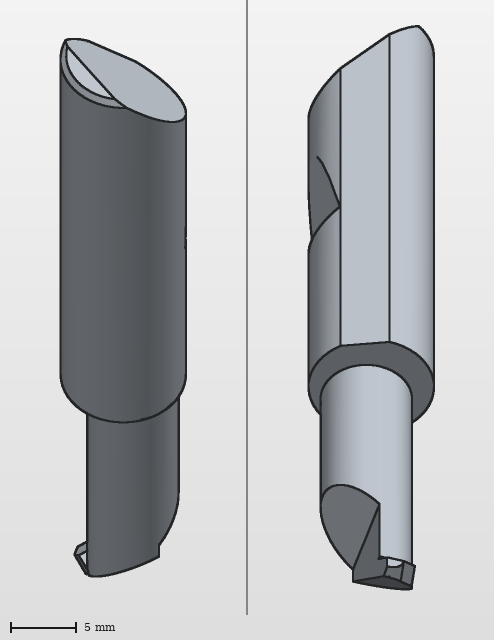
import cadquery as cq
import math

total_height = 63.2
shank_diameter = 9.55
shank_radius = shank_diameter / 2
shank_bottom = 25.1
top_chamfer = 0.45
slant_start_y = -3.0

flat_chord_angle = 46.0
flat_normal_angle = 180 - flat_chord_angle / 2
flat_distance = shank_radius * math.cos(math.radians(flat_chord_angle / 2))

notch_top = 49.45
notch_root = 41.0
notch_bottom = 40.1
notch_floor_y = 3.5

neck_diameter = 6.95
neck_radius = neck_diameter / 2
neck_x = shank_radius - neck_radius
neck_bottom = 3.4
face_end_height = 9.35

underside_rise = 3.2
arm_top_rise = 5.3
tip_x = -4.2
tip_edge_bottom = 0.1
flank_start = (-2.4, 2.7)
flank_end = (-1.3, 1.15)
nose_middle = (-0.9, 0.4)
clearance_angle = 10.0

cut_size = 2 * total_height


def make_shank():
    shank = (
        cq.Workplane("XY", origin=(0, 0, shank_bottom))
        .circle(shank_radius)
        .extrude(total_height - shank_bottom)
        .faces(">Z")
        .chamfer(top_chamfer)
    )
    slope_run = shank_diameter
    slope = (
        cq.Workplane("YZ")
        .moveTo(slant_start_y, total_height)
        .line(slope_run, -slope_run)
        .line(0, slope_run)
        .close()
        .extrude(shank_diameter, both=True)
    )
    flat = (
        cq.Workplane("XY")
        .box(shank_diameter, cut_size, cut_size, centered=(False, True, True))
        .translate((flat_distance, 0, 0))
        .rotate((0, 0, 0), (0, 0, 1), flat_normal_angle)
    )
    notch = (
        cq.Workplane("YZ")
        .polyline([
            (shank_radius, notch_top),
            (notch_floor_y, notch_root),
            (shank_radius, notch_bottom),
        ])
        .close()
        .extrude(shank_diameter, both=True)
    )
    return shank.cut(slope).cut(flat).cut(notch)


def make_neck():
    return (
        cq.Workplane("XY", origin=(neck_x, 0, neck_bottom))
        .circle(neck_radius)
        .extrude(shank_bottom - neck_bottom)
    )


def make_arm():
    """Tapering arm with flanks that widen away from the tip for clearance."""
    outline = (
        cq.Workplane("YZ", origin=(tip_x, 0, 0))
        .moveTo(0, tip_edge_bottom)
        .threePointArc(nose_middle, flank_end)
        .lineTo(*flank_start)
        .lineTo(flank_start[0], neck_bottom)
        .lineTo(neck_radius, neck_bottom)
        .lineTo(neck_radius, tip_edge_bottom)
        .close()
        .extrude(neck_x - tip_x, taper=-clearance_angle)
    )
    side_profile = (
        cq.Workplane("XZ")
        .polyline([
            (tip_x, 0),
            (-underside_rise, 0),
            (neck_bottom - underside_rise, neck_bottom),
            (neck_bottom - arm_top_rise, neck_bottom),
            (tip_x, tip_x + arm_top_rise),
        ])
        .close()
        .extrude(neck_diameter)
    )
    neck_envelope = (
        cq.Workplane("XY", origin=(neck_x, 0, 0))
        .slot2D(2 * (neck_diameter + neck_radius), neck_diameter)
        .extrude(neck_bottom)
    )
    return outline.intersect(side_profile).intersect(neck_envelope)


def make_underside_cut():
    high_x = shank_diameter
    return (
        cq.Workplane("XZ")
        .moveTo(-underside_rise, 0)
        .lineTo(high_x, high_x + underside_rise)
        .lineTo(high_x, 0)
        .close()
        .extrude(shank_diameter, both=True)
    )


def make_face_cut():
    """Clears the +Y half of the neck down to the cutting face at Y = 0."""
    return (
        cq.Workplane("YZ")
        .polyline([
            (0, 0),
            (0, face_end_height),
            (shank_radius, face_end_height + shank_radius),
            (shank_radius, 0),
        ])
        .close()
        .extrude(shank_diameter, both=True)
    )


body = make_shank().union(make_neck()).union(make_arm())
result = body.cut(make_underside_cut()).cut(make_face_cut())